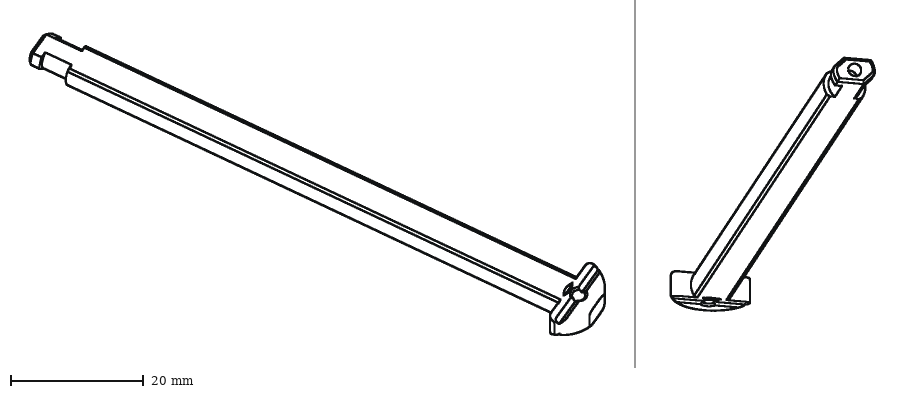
import cadquery as cq
import math

total_length = 97.5
thickness = 4.0

shaft_radius = 3.25
shaft_bevel_width = 0.5
shaft_bevel_drop = 0.27

neck_radius = 2.5
neck_end = 6.6
lug_length = 2.0
lug_corner_fillet = 1.2
end_chamfer = 0.45
center_hole_diameter = 2.0
center_hole_depth = 3.0
drill_point_angle = 118

head_length = 5.05
head_width = 12.25
head_arc_radius = 6.55
head_tip_flat = 4.4
head_corner_fillet = 0.95
head_rim_fillet = 0.6

groove_from_tip = 3.2
groove_depth = 0.7
wire_hole_diameter = 2.0
wire_hole_chamfer = 0.32

notch_half_length = 1.4
notch_depth = 0.4

half_thickness = thickness / 2
head_start = total_length - head_length
groove_x = total_length - groove_from_tip


def make_neck():
    """Round neck between the lugs and the shaft, with the part's two flats."""
    flat_y = math.sqrt(neck_radius**2 - half_thickness**2)
    return (
        cq.Workplane("YZ", origin=(lug_length, 0, 0))
        .moveTo(-flat_y, half_thickness)
        .lineTo(flat_y, half_thickness)
        .threePointArc((neck_radius, 0), (flat_y, -half_thickness))
        .lineTo(-flat_y, -half_thickness)
        .threePointArc((-neck_radius, 0), (-flat_y, half_thickness))
        .close()
        .extrude(neck_end - lug_length)
    )


def make_shaft():
    """Flatted round bar with a shallow bevel where each flat meets the round sides."""
    bevel_z = half_thickness - shaft_bevel_drop
    bevel_y = math.sqrt(shaft_radius**2 - bevel_z**2)
    flat_y = bevel_y - shaft_bevel_width
    return (
        cq.Workplane("YZ", origin=(neck_end, 0, 0))
        .moveTo(-flat_y, half_thickness)
        .lineTo(flat_y, half_thickness)
        .lineTo(bevel_y, bevel_z)
        .threePointArc((shaft_radius, 0), (bevel_y, -bevel_z))
        .lineTo(flat_y, -half_thickness)
        .lineTo(-flat_y, -half_thickness)
        .lineTo(-bevel_y, -bevel_z)
        .threePointArc((-shaft_radius, 0), (-bevel_y, bevel_z))
        .close()
        .extrude(head_start - neck_end)
    )


def polar(radius, angle):
    """(y, z) at an angle in radians from +Y."""
    return radius * math.cos(angle), radius * math.sin(angle)


def opposite(point):
    return -point[0], -point[1]


def make_lugs():
    """Lug section: neck round on two opposite corners, shaft round on the other two.

    A 45 degree plane tangent to the neck round joins the two radii.
    """
    neck_flat_angle = math.asin(half_thickness / neck_radius)
    lug_flat_angle = -math.asin(half_thickness / shaft_radius)
    tangent_angle = math.radians(45)
    corner_angle = tangent_angle - math.acos(neck_radius / shaft_radius)

    neck_flat = polar(neck_radius, neck_flat_angle)
    neck_mid = polar(neck_radius, (neck_flat_angle + tangent_angle) / 2)
    tangent = polar(neck_radius, tangent_angle)
    corner = polar(shaft_radius, corner_angle)
    lug_mid = polar(shaft_radius, (corner_angle + lug_flat_angle) / 2)
    lug_flat = polar(shaft_radius, lug_flat_angle)

    lugs = (
        cq.Workplane("YZ")
        .moveTo(*neck_flat)
        .threePointArc(neck_mid, tangent)
        .lineTo(*corner)
        .threePointArc(lug_mid, lug_flat)
        .lineTo(*opposite(neck_flat))
        .threePointArc(opposite(neck_mid), opposite(tangent))
        .lineTo(*opposite(corner))
        .threePointArc(opposite(lug_mid), opposite(lug_flat))
        .close()
        .extrude(lug_length)
    )
    for y, z in (corner, opposite(corner)):
        corner_edge = cq.selectors.NearestToPointSelector((lug_length / 2, y, z))
        lugs = lugs.edges(corner_edge).fillet(lug_corner_fillet)
    return lugs.faces("<X").chamfer(end_chamfer)


def center_hole():
    """Drilled hole along X with a conical bottom."""
    radius = center_hole_diameter / 2
    point_length = radius / math.tan(math.radians(drill_point_angle / 2))
    return (
        cq.Workplane("XY")
        .polyline(
            [(0, 0), (0, radius), (center_hole_depth, radius), (center_hole_depth + point_length, 0)]
        )
        .close()
        .revolve(360, (0, 0, 0), (1, 0, 0))
    )


def make_head():
    """Slab with rounded back corners, cut round in front by a disc with a filleted rim."""
    slab = (
        cq.Workplane("XY")
        .box(head_length, head_width, thickness)
        .translate((head_start + head_length / 2, 0, 0))
    )
    slab = slab.edges("|Z and <X").fillet(head_corner_fillet)

    arc_center_x = total_length - math.sqrt(head_arc_radius**2 - (head_tip_flat / 2) ** 2)
    disc = (
        cq.Workplane("XY", origin=(arc_center_x, 0, -half_thickness))
        .circle(head_arc_radius)
        .extrude(thickness)
        .edges()
        .fillet(head_rim_fillet)
    )
    return slab.intersect(disc)


def wire_groove(side):
    """V groove across the head, on the +Z (side = 1) or -Z (side = -1) flat."""
    z = side * half_thickness
    return (
        cq.Workplane("XZ", origin=(0, head_width, 0))
        .moveTo(groove_x - groove_depth, z)
        .lineTo(groove_x + groove_depth, z)
        .lineTo(groove_x, z - side * groove_depth)
        .close()
        .extrude(2 * head_width)
    )


def wire_hole():
    """Cross hole with a 45 degree countersink at each flat."""
    radius = wire_hole_diameter / 2
    mouth_radius = radius + wire_hole_chamfer
    straight_z = half_thickness - wire_hole_chamfer
    return (
        cq.Workplane("XZ", origin=(groove_x, 0, 0))
        .moveTo(0, half_thickness)
        .lineTo(mouth_radius, half_thickness)
        .lineTo(radius, straight_z)
        .lineTo(radius, -straight_z)
        .lineTo(mouth_radius, -half_thickness)
        .lineTo(0, -half_thickness)
        .close()
        .revolve(360, (0, 0, 0), (0, 1, 0))
    )


def joint_notch(side):
    """Disc with a V rim, dipping into the +Z (side = 1) or -Z (side = -1) flat."""
    disc_radius = (notch_half_length**2 + notch_depth**2) / (2 * notch_depth)
    center_z = side * (half_thickness + disc_radius - notch_depth)
    return (
        cq.Workplane("XY", origin=(head_start, 0, center_z))
        .polyline([(-disc_radius, 0), (0, disc_radius), (disc_radius, 0)])
        .close()
        .revolve(360, (0, 0, 0), (1, 0, 0))
    )


head = make_head().cut(wire_hole())
for side in (1, -1):
    head = head.cut(wire_groove(side))

result = make_shaft().union(head).cut(joint_notch(1)).cut(joint_notch(-1))
result = result.union(make_neck()).union(make_lugs()).cut(center_hole())